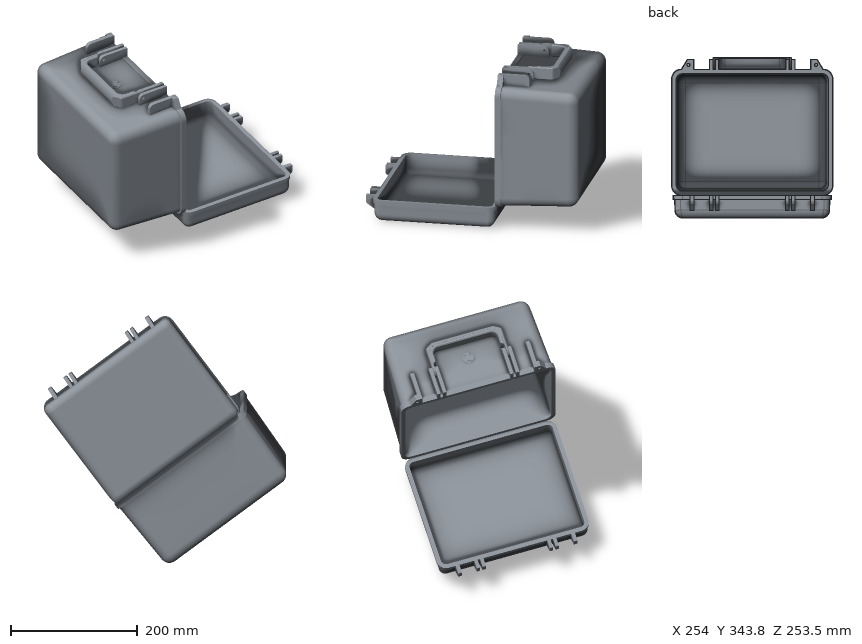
import cadquery as cq


rim_depth = 198.8
rim_corner = 15.0
rim_land = 7.0
wall = 4.5
mid_depth = rim_depth / 2
overlap = 3.5

case_width = 254.0
case_depth = 131.0
case_rim_thickness = 9.3
case_inset_x = 2.8
case_inset_z = 1.7
case_draft = 2.0
case_fillet = 15.0

lid_width = 249.7
lid_depth = 35.8
lid_rim_thickness = 6.2
lid_inset = 2.5
lid_draft = 1.5
lid_corner = 9.3
lid_fillet = 12.7

latch_tab = (92.2, 6.2)
handle_tabs = [(62.3, 5.5), (52.5, 5.5)]
tabs = [latch_tab, *handle_tabs]
case_tab_length = 50.2
case_tab_top = 214.3
case_tab_fillet = 8.5
lid_tab_reach = 14.0
lid_tab_end_height = 13.0
lid_tab_root_height = 24.0
lid_tab_corner = 4.8

ear_top_x = 102.5
ear_foot_x = 111.8
ear_hole_x = 100.8
ear_hole_z = 205.5
pin_diameter = 4.0

handle_half_width = 62.3
handle_arm = 3.8
handle_top = 217.7
handle_height = 20.3
handle_front_y = -89.5
handle_bulge = 3.0
handle_pivot_y = -43.5
handle_chamfer = 1.5
corner_cut_x = 15.5
corner_cut_y = 9.3
pad_thickness = 5.0
pad_start_y = -52.0
pad_start_slope = 3.0
pad_front_y = -83.0
pad_corner = 10.5
pad_recess = 0.5
pad_flare = -45
handle_radius = handle_height / 2
handle_mid_z = handle_top - handle_radius
handle_bottom = handle_top - handle_height
arm_inner_x = handle_half_width - handle_arm

valve_y = -54.5
valve_radius = 10.0
valve_top = 197.0
valve_height = 3.5
valve_chamfer = 1.0
slot_count = 3
first_slot_angle = 90
slot_width = 6.2
slot_length = 5.0
slot_depth = 1.0


def case_plane(y):
    """Plane facing -Y, centred on the case."""
    return cq.Plane(origin=(0, y, mid_depth), xDir=(1, 0, 0), normal=(0, -1, 0))


def lid_plane(z):
    """Plane facing down, centred on the lid."""
    return cq.Plane(origin=(0, mid_depth, z), xDir=(1, 0, 0), normal=(0, 0, -1))


def tub(plane, width, depth, height, corner, draft, end_fillet):
    """Block that narrows along the plane normal, with rounded sides and far end."""
    start = cq.DirectionMinMaxSelector(plane.zDir, False)
    end = cq.DirectionMinMaxSelector(plane.zDir, True)
    block = cq.Workplane(plane).rect(width, depth).extrude(height, taper=draft)
    if corner == end_fillet:
        return block.edges(cq.selectors.InverseSelector(start)).fillet(corner)
    sides = block.edges(cq.selectors.InverseSelector(cq.selectors.SumSelector(start, end)))
    return sides.fillet(corner).faces(end).edges().fillet(end_fillet)


def rim(plane, width, thickness):
    outline = cq.Sketch().rect(width, rim_depth).vertices().fillet(rim_corner)
    return cq.Workplane(plane).placeSketch(outline).extrude(thickness)


def add_mirrored(body, feature):
    """Join a feature and its mirror image across the middle plane to a body."""
    return body.union(feature).union(feature.mirror("YZ"))


def tub_cavity(plane, width, depth, draft, outer_fillet):
    """Space inside a rim, leaving the wall thickness at the far end."""
    fillet = outer_fillet - wall
    inner_width = width - 2 * rim_land
    inner_depth = rim_depth - 2 * rim_land
    return tub(plane, inner_width, inner_depth, depth - wall, fillet, draft, fillet)


def case_tab(inner_x, thickness):
    root_z = rim_depth - rim_land
    return (
        cq.Workplane("YZ", origin=(inner_x, 0, 0))
        .moveTo(0, root_z)
        .lineTo(0, case_tab_top)
        .lineTo(-case_tab_length, case_tab_top)
        .lineTo(-case_tab_length, root_z)
        .close()
        .extrude(thickness)
        .edges("<Y and >Z")
        .fillet(case_tab_fillet)
    )


def latch_ear():
    """Sloped web with a hole, beside an outer tab."""
    tab_x = latch_tab[0]
    root_z = rim_depth - rim_land
    web = (
        cq.Workplane("XZ")
        .polyline([
            (tab_x, root_z),
            (ear_foot_x, root_z),
            (ear_foot_x, rim_depth),
            (ear_top_x, case_tab_top),
            (tab_x, case_tab_top),
        ])
        .close()
        .extrude(case_rim_thickness)
    )
    hole = (
        cq.Workplane("XZ")
        .center(ear_hole_x, ear_hole_z)
        .circle(pin_diameter / 2)
        .extrude(case_rim_thickness)
    )
    return web.cut(hole)


def pivot_hole():
    """Pin hole through the handle and the tabs on both sides of its arms."""
    reach = handle_tabs[0][0] + handle_tabs[0][1]
    return (
        cq.Workplane("YZ")
        .center(handle_pivot_y, handle_mid_z)
        .circle(pin_diameter / 2)
        .extrude(reach, both=True)
    )


def valve():
    """Round plug with slots set around its edge."""
    plug = (
        cq.Workplane("XY", origin=(0, valve_y, valve_top - valve_height))
        .circle(valve_radius)
        .extrude(valve_height)
        .faces(">Z")
        .chamfer(valve_chamfer)
    )
    slots = (
        cq.Workplane("XY", origin=(0, valve_y, valve_top - slot_depth))
        .polarArray(valve_radius - slot_length / 2, first_slot_angle, 360, slot_count)
        .rect(slot_length, slot_width)
        .extrude(slot_depth)
    )
    return plug.cut(slots)


def make_case():
    case = rim(case_plane(0), case_width, case_rim_thickness)
    case = case.union(
        tub(
            case_plane(-case_rim_thickness),
            case_width - 2 * case_inset_x,
            rim_depth - 2 * case_inset_z,
            case_depth - case_rim_thickness,
            case_fillet,
            case_draft,
            case_fillet,
        )
    )
    for inner_x, thickness in tabs:
        case = add_mirrored(case, case_tab(inner_x, thickness))
    case = add_mirrored(case, latch_ear())
    case = case.union(valve())
    case = case.cut(tub_cavity(case_plane(0), case_width, case_depth, case_draft, case_fillet))
    return case.cut(pivot_hole())


def lid_tab(inner_x, thickness):
    root_y = rim_depth - lid_inset - overlap
    tip_y = rim_depth + lid_tab_reach
    tab = (
        cq.Workplane("YZ", origin=(inner_x, 0, 0))
        .polyline([
            (root_y, 0),
            (tip_y, 0),
            (tip_y, -lid_tab_end_height),
            (rim_depth - lid_inset, -lid_tab_root_height),
            (root_y, -lid_tab_root_height),
        ])
        .close()
        .extrude(thickness)
    )
    return tab.faces(">Y").edges("<Z").fillet(lid_tab_corner)


def make_lid():
    lid = rim(lid_plane(0), lid_width, lid_rim_thickness)
    lid = lid.union(
        tub(
            lid_plane(-lid_rim_thickness),
            lid_width - 2 * lid_inset,
            rim_depth - 2 * lid_inset,
            lid_depth - lid_rim_thickness,
            lid_corner,
            lid_draft,
            lid_fillet,
        )
    )
    for inner_x, thickness in tabs:
        lid = add_mirrored(lid, lid_tab(inner_x, thickness))
    return lid.cut(tub_cavity(lid_plane(0), lid_width, lid_depth, lid_draft, lid_fillet))


def handle_side_profile():
    """Side shape of the handle: round at the pivot, bulged at the grip."""
    edge_y = handle_front_y + handle_bulge
    return (
        cq.Workplane("YZ")
        .moveTo(handle_pivot_y, handle_top)
        .threePointArc((handle_pivot_y + handle_radius, handle_mid_z), (handle_pivot_y, handle_bottom))
        .lineTo(edge_y, handle_bottom)
        .threePointArc((handle_front_y, handle_mid_z), (edge_y, handle_top))
        .close()
        .extrude(handle_half_width, both=True)
    )


def u_opening(half_width, back_y, front_y, corner, bottom, height, draft=0):
    """Slot between the handle arms, closed and rounded at the grip."""
    outline = (
        cq.Sketch()
        .push([(0, (back_y + front_y) / 2)])
        .rect(2 * half_width, back_y - front_y)
        .reset()
        .vertices("<Y")
        .fillet(corner)
    )
    return cq.Workplane("XY", origin=(0, 0, bottom)).placeSketch(outline).extrude(height, taper=draft)


def grip_pad():
    """Slightly recessed lining along the inside of the arms and the grip."""
    bottom = handle_bottom + pad_recess
    top = handle_top - pad_recess
    front_y = pad_front_y + pad_thickness
    inner_x = arm_inner_x - pad_thickness
    outer = u_opening(
        arm_inner_x, pad_start_y, pad_front_y, pad_corner + pad_thickness, bottom, top - bottom
    )
    opening = u_opening(inner_x, pad_start_y + overlap, front_y, pad_corner, bottom, top - bottom)
    flare = u_opening(
        inner_x,
        pad_start_y + overlap,
        front_y,
        pad_corner,
        top - handle_chamfer,
        handle_chamfer,
        pad_flare,
    )
    lower_flare = flare.mirror("XY", (0, 0, handle_mid_z))
    start_slope = (
        cq.Workplane("XY", origin=(0, 0, bottom))
        .polyline([
            (arm_inner_x, pad_start_y),
            (inner_x, pad_start_y - pad_start_slope),
            (-inner_x, pad_start_y - pad_start_slope),
            (-arm_inner_x, pad_start_y),
        ])
        .close()
        .extrude(top - bottom)
    )
    return outer.cut(opening).cut(flare).cut(lower_flare).cut(start_slope)


def make_handle():
    back_y = handle_pivot_y + handle_radius
    cut_y = handle_front_y + corner_cut_y
    cut_x = handle_half_width - corner_cut_x
    frame = (
        cq.Workplane("XY", origin=(0, 0, handle_bottom))
        .polyline([
            (handle_half_width, back_y),
            (handle_half_width, cut_y),
            (cut_x, handle_front_y),
            (-cut_x, handle_front_y),
            (-handle_half_width, cut_y),
            (-handle_half_width, back_y),
        ])
        .close()
        .extrude(handle_height)
        .edges("|Z and (>X or <X)")
        .edges("<Y")
        .chamfer(handle_chamfer)
        .faces("|Z")
        .chamfer(handle_chamfer)
    )
    frame = frame.intersect(handle_side_profile())
    opening = u_opening(
        arm_inner_x, back_y, pad_front_y, pad_corner + pad_thickness, handle_bottom, handle_height
    )
    frame = frame.cut(opening)
    return frame.union(grip_pad()).cut(pivot_hole())


case = make_case()
lid = make_lid()
handle = make_handle()

result = cq.Compound.makeCompound([case.solids().val(), lid.solids().val(), handle.solids().val()])